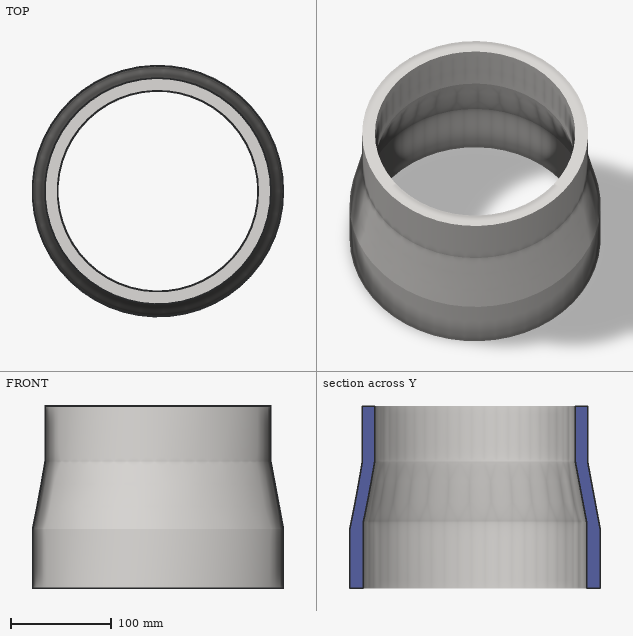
import cadquery as cq

total_height = 182.0
wide_length = 59.5
narrow_length = 55.5
wide_outer_radius = 125.0
narrow_outer_radius = 112.5
wide_wall = 14.0
narrow_wall = 12.75
wide_bore_depth = 66.5

cone_top = total_height - narrow_length
wide_inner_radius = wide_outer_radius - wide_wall
narrow_inner_radius = narrow_outer_radius - narrow_wall


def stepped_cone(wide_radius, narrow_radius, cone_bottom):
    """Solid of revolution about Z: wide cylinder, cone frustum, narrow cylinder."""
    return (
        cq.Workplane("XZ")
        .moveTo(0, 0)
        .lineTo(wide_radius, 0)
        .lineTo(wide_radius, cone_bottom)
        .lineTo(narrow_radius, cone_top)
        .lineTo(narrow_radius, total_height)
        .lineTo(0, total_height)
        .close()
        .revolve(360, (0, 0, 0), (0, 1, 0))
    )


outer_body = stepped_cone(wide_outer_radius, narrow_outer_radius, wide_length)
bore = stepped_cone(wide_inner_radius, narrow_inner_radius, wide_bore_depth)

result = outer_body.cut(bore)